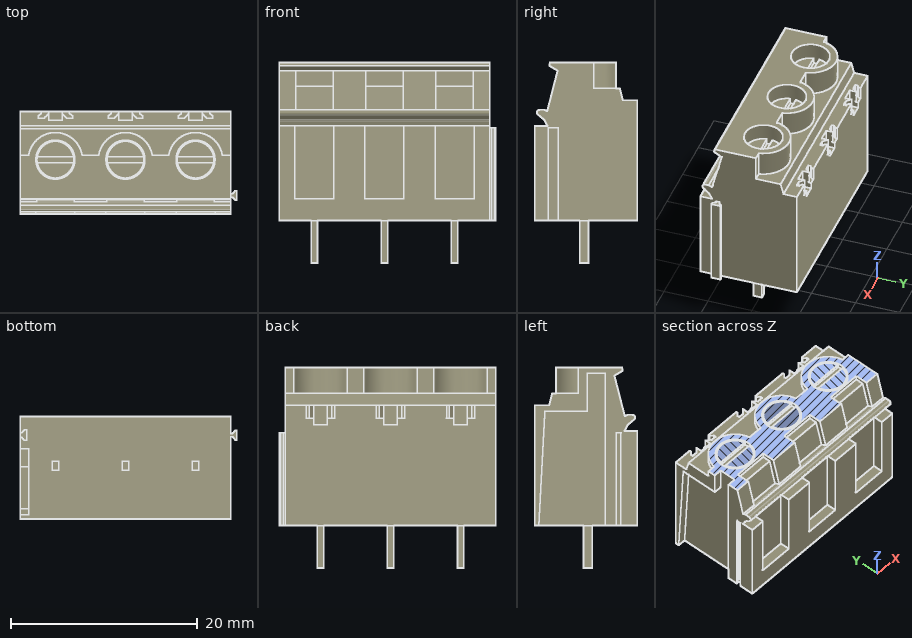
import cadquery as cq


overall_width = 23.25
width = 22.6
depth = 11.0
height = 16.95
half_width = width / 2

pole_pitch = 7.5
pole_xs = [index * pole_pitch for index in (-1, 0, 1)]

shelf_z = 10.15
rear_z = 12.9
step_z = 14.15
step_y = 6.32
rear_slope_low_y = 9.46
rear_slope_high_y = 9.14
eave_y = 1.63
eave_tip_y = 1.53
eave_tip_z = 16.6
slope_top_y = 2.45
slope_top_z = 16.07
slope_foot_y = 1.33
slope_foot_z = 11.72
lip_crest_z = 11.9
lip_front_z = 11.88
lip_rear_mid = (1.15, 11.83)
lip_crest_y = 0.95
lip_front_y = 0.53
lip_nose = (0.23, 11.6)
lip_under = (0.33, 11.37)
lip_root_start = (0.9, 10.88)
lip_root_mid = (1.0, 10.79)
lip_root_end = (1.07, 10.7)
shelf_back_y = 1.35

screw_y = 5.84
boss_radius = 2.9
screw_hole_radius = 2.1
screw_radius = 1.98
screw_top_z = 15.18
screw_height = 2.32
screw_slot_width = 0.63
screw_slot_depth = 0.63
screw_bottom_z = screw_top_z - screw_height

window_width = 4.05
window_sill_z = 14.4
window_foot_z = 11.42
window_depth = 0.67
window_back_y = 3.6

pocket_width = 4.18
pocket_floor_z = 2.35
pocket_depth = 1.15

side_recess_depth = 0.95
side_recess_front_y = 3.45
side_recess_step_y = 5.37
side_recess_top_z = 16.35
side_recess_step_z = 12.28
side_recess_rear_top_y = 9.9
side_recess_rear_bottom_y = 10.55

rib_y = 2.0
rib_height = 9.95
rib_reach = overall_width - width
rib_neck_reach = 0.19
rib_flare_reach = 0.46
rib_neck_width = 0.4
rib_head_width = 1.05
groove_clearance = 0.05

key_depth = 1.4
key_mouth_half = 1.5
key_outer_half = 1.84
key_inner_half = 1.2
key_mouth_reach = 0.2
key_shoulder_reach = 0.46
key_reach = 0.72
key_slot_half = 0.72
key_slot_reach = 0.95
key_slot_depth = 2.1

pin_width = 0.72
pin_thickness = 0.98
pin_length = 4.55
pin_y = 5.3


def box(x_range, y_range, z_range):
    """Axis-aligned block between the given limits."""
    size = [high - low for low, high in (x_range, y_range, z_range)]
    block = cq.Workplane("XY").box(*size, centered=False)
    return block.translate((x_range[0], y_range[0], z_range[0]))


def span(center, length):
    """Limits of a length centred on a point."""
    return (center - length / 2, center + length / 2)


def side_plate(points, x_start, thickness):
    """Outline in (Y, Z) extruded along +X from x_start."""
    return cq.Workplane("YZ", origin=(x_start, 0, 0)).polyline(points).close().extrude(thickness)


def vertical_cylinder(x, radius, z_low, z_high):
    """Cylinder on a screw axis."""
    return cq.Workplane("XY", origin=(x, screw_y, z_low)).circle(radius).extrude(z_high - z_low)


def housing_block():
    """Side profile extruded over the full width."""
    return (
        cq.Workplane("YZ", origin=(-half_width, 0, 0))
        .moveTo(0, 0)
        .lineTo(depth, 0)
        .lineTo(depth, rear_z)
        .lineTo(rear_slope_low_y, rear_z)
        .lineTo(rear_slope_high_y, step_z)
        .lineTo(step_y, step_z)
        .lineTo(step_y, height)
        .lineTo(eave_y, height)
        .lineTo(eave_tip_y, eave_tip_z)
        .lineTo(slope_top_y, slope_top_z)
        .lineTo(slope_foot_y, slope_foot_z)
        .threePointArc(lip_rear_mid, (lip_crest_y, lip_crest_z))
        .lineTo(lip_front_y, lip_front_z)
        .threePointArc(lip_nose, lip_under)
        .lineTo(*lip_root_start)
        .threePointArc(lip_root_mid, lip_root_end)
        .lineTo(shelf_back_y, shelf_z)
        .lineTo(0, shelf_z)
        .close()
        .extrude(width)
    )


def wire_window(x):
    """Recess in the sloping face, running back to a deeper opening above its sill."""
    slope_run = (slope_top_y - slope_foot_y) / (slope_top_z - slope_foot_z)
    inner_foot_y = slope_foot_y + slope_run * (window_foot_z - slope_foot_z) + window_depth
    sill_y = slope_foot_y + slope_run * (window_sill_z - slope_foot_z) + window_depth
    outline = [
        (slope_foot_y, slope_foot_z),
        (inner_foot_y, window_foot_z),
        (sill_y, window_sill_z),
        (window_back_y, window_sill_z),
        (window_back_y, slope_top_z),
        (slope_top_y, slope_top_z),
    ]
    return side_plate(outline, x - window_width / 2, window_width)


def front_pocket(x):
    """Pocket in the front face, open at the ledge."""
    return box(span(x, pocket_width), (0, pocket_depth), (pocket_floor_z, shelf_z))


def side_recess():
    """Stepped shallow recess in the -X side, open at the underside."""
    outline = [
        (side_recess_front_y, 0),
        (side_recess_front_y, side_recess_top_z),
        (side_recess_step_y, side_recess_top_z),
        (side_recess_step_y, side_recess_step_z),
        (side_recess_rear_top_y, side_recess_step_z),
        (side_recess_rear_bottom_y, 0),
    ]
    return side_plate(outline, -half_width, side_recess_depth)


def dovetail(x_base, clearance):
    """Vertical dovetail bar whose neck starts at x_base and whose head points to +X."""
    neck_half = rib_neck_width / 2 + clearance
    head_half = rib_head_width / 2 + clearance
    reach = rib_reach + clearance
    half_outline = [
        (0, neck_half),
        (rib_neck_reach, neck_half),
        (rib_flare_reach, head_half),
        (reach, head_half),
    ]
    outline = half_outline + [(x, -y) for x, y in reversed(half_outline)]
    bar = cq.Workplane("XY").polyline(outline).close().extrude(rib_height)
    return bar.translate((x_base, rib_y, 0))


def key_pocket(x):
    """Dovetail pocket in the back edge with a deeper rectangular slot in its middle."""
    half_outline = [
        (key_mouth_half, 0),
        (key_mouth_half, -key_mouth_reach),
        (key_outer_half, -key_shoulder_reach),
        (key_outer_half, -key_reach),
        (key_inner_half, -key_reach),
        (key_slot_half, key_inner_half - key_slot_half - key_reach),
    ]
    outline = half_outline + [(-px, py) for px, py in reversed(half_outline)]
    flares = cq.Workplane("XY").polyline(outline).close().extrude(key_depth)
    flares = flares.translate((x, depth, rear_z - key_depth))
    slot = box(
        span(x, 2 * key_slot_half),
        (depth - key_slot_reach, depth),
        (rear_z - key_slot_depth, rear_z),
    )
    return flares.union(slot)


def make_housing():
    body = housing_block()
    for x in pole_xs:
        body = body.union(vertical_cylinder(x, boss_radius, step_z, height))
    body = body.union(dovetail(half_width, 0))
    for x in pole_xs:
        body = body.cut(vertical_cylinder(x, screw_hole_radius, screw_bottom_z, height))
        body = body.cut(wire_window(x))
        body = body.cut(front_pocket(x))
        body = body.cut(key_pocket(x))
    body = body.cut(side_recess())
    return body.cut(dovetail(-half_width, groove_clearance))


def make_screw(x):
    """Slotted screw standing on the floor of its hole."""
    slot = box(
        span(x, 2 * screw_radius),
        span(screw_y, screw_slot_width),
        (screw_top_z - screw_slot_depth, screw_top_z),
    )
    return vertical_cylinder(x, screw_radius, screw_bottom_z, screw_top_z).cut(slot)


def make_pin(x):
    """Straight rectangular solder pin below the housing."""
    return box(span(x, pin_width), span(pin_y, pin_thickness), (-pin_length, 0))


housing = make_housing()
screws = [make_screw(x) for x in pole_xs]
pins = [make_pin(x) for x in pole_xs]

result = cq.Compound.makeCompound([body.val() for body in [housing, *screws, *pins]])